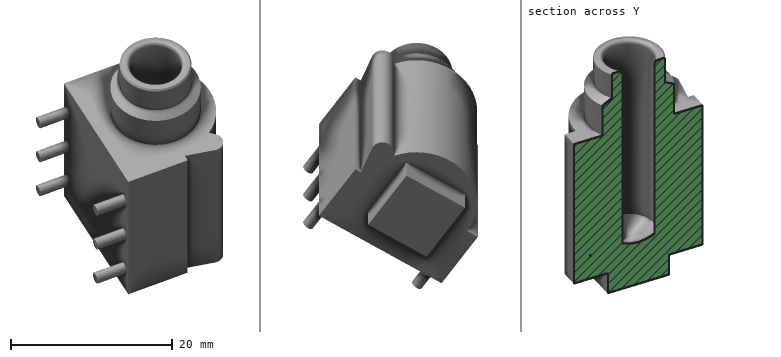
import cadquery as cq
import math

body_height = 21.0
body_width = 18.2
front_depth = 8.2
barrel_radius = 7.52

tab_radius = 1.38
tab_centre = (body_width / 2 - tab_radius, 4.05)
tab_foot = (8.28, 0.0)
notch_angle = 35.5

stub_height = 3.0
stub_width = 8.67

neck_height = 32.85 - body_height - stub_height
collar_radius = 5.62
collar_height = 4.47
shoulder_height = 0.7
neck_radius = 4.47
rim_chamfer = 0.2
bore_radius = 3.25
bore_lead_in = 0.5
bore_depth = 27.92
bore_tip_angle = 118.0

pin_radius = 0.72
pin_length = 19.78 - barrel_radius - front_depth
pin_offset_x = 8.08
pin_pitch = 6.35
top_pin_drop = 4.35
pins_per_side = 3


def tangent_point(start, side):
    """Point where a line from start touches the tab circle; side is +1 or -1."""
    dx = start[0] - tab_centre[0]
    dy = start[1] - tab_centre[1]
    angle = math.atan2(dy, dx) + side * math.acos(tab_radius / math.hypot(dx, dy))
    return (
        tab_centre[0] + tab_radius * math.cos(angle),
        tab_centre[1] + tab_radius * math.sin(angle),
    )


def make_body():
    half_width = body_width / 2
    notch = (
        barrel_radius * math.cos(math.radians(notch_angle)),
        barrel_radius * math.sin(math.radians(notch_angle)),
    )
    tab_top = (tab_centre[0], tab_centre[1] + tab_radius)
    return (
        cq.Workplane("XY")
        .moveTo(-half_width, -front_depth)
        .lineTo(half_width, -front_depth)
        .lineTo(half_width, 0)
        .lineTo(*tab_foot)
        .lineTo(*tangent_point(tab_foot, 1))
        .threePointArc(tab_top, tangent_point(notch, -1))
        .lineTo(*notch)
        .threePointArc((0, barrel_radius), (-barrel_radius, 0))
        .lineTo(-half_width, 0)
        .close()
        .extrude(body_height)
    )


def make_stub():
    return cq.Workplane("XY").rect(stub_width, stub_width).extrude(-stub_height)


def revolve_profile(points):
    """Turn a radius-height outline about the Z axis."""
    return cq.Workplane("XZ").polyline(points).close().revolve(360, (0, 0), (0, 1))


def make_neck():
    collar_top = body_height + collar_height
    neck_top = body_height + neck_height
    return revolve_profile([
        (0, body_height),
        (collar_radius, body_height),
        (collar_radius, collar_top),
        (neck_radius, collar_top + shoulder_height),
        (neck_radius, neck_top - rim_chamfer),
        (neck_radius - rim_chamfer, neck_top),
        (0, neck_top),
    ])


def make_bore():
    """Blind bore with a flared mouth and a conical bottom."""
    top = body_height + neck_height
    bottom = top - bore_depth
    tip_depth = bore_radius / math.tan(math.radians(bore_tip_angle / 2))
    bore = revolve_profile([
        (0, bottom),
        (bore_radius, bottom + tip_depth),
        (bore_radius, top),
        (0, top),
    ])
    arc_offset = bore_lead_in * (1 - math.sqrt(0.5))
    mouth = (
        cq.Workplane("XZ")
        .moveTo(0, top - bore_lead_in)
        .lineTo(bore_radius, top - bore_lead_in)
        .threePointArc(
            (bore_radius + arc_offset, top - arc_offset),
            (bore_radius + bore_lead_in, top),
        )
        .lineTo(0, top)
        .close()
        .revolve(360, (0, 0), (0, 1))
    )
    return bore.union(mouth)


def make_pins():
    positions = [
        (x, body_height - top_pin_drop - row * pin_pitch)
        for x in (-pin_offset_x, pin_offset_x)
        for row in range(pins_per_side)
    ]
    return (
        cq.Workplane("XZ", origin=(0, -front_depth, 0))
        .pushPoints(positions)
        .circle(pin_radius)
        .extrude(pin_length)
    )


result = (
    make_body()
    .union(make_stub())
    .union(make_neck())
    .cut(make_bore())
    .union(make_pins())
)